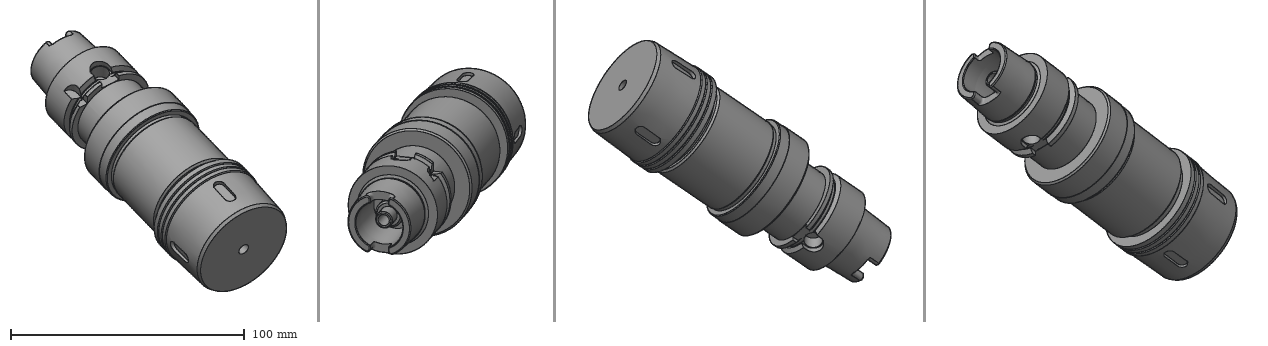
import cadquery as cq
import math


total_length = 140.0
flange_start = 20.0
flange_end = 40.0
body_start = 55.0
body_end = 72.0
sleeve_start = 73.5
sleeve_end = 105.0
nut_start = 108.0
nut_cone_start = 116.5

taper_tip_radius = 14.1
taper_base_radius = 15.0
taper_base = 17.8
tip_chamfer = 0.5
relief_radius = 14.7
relief_start = 18.6
relief_flare_start = 19.5
relief_flare_radius = 16.0

flange_radius = 20.0
groove_radius = 17.35
groove_foot_radius = 17.95
groove_top_start = 33.9
groove_floor_start = 35.1
groove_floor_end = 36.7
groove_top_end = 38.1

neck_radius = 17.0
body_radius = 24.5
body_rear_radius = 24.25
body_rear_chamfer = 0.4
body_step = 66.7
body_chamfer = 0.8
undercut_radius = 21.75
sleeve_radius = 22.1
sleeve_rear_chamfer = 0.5
sleeve_front_chamfer = 0.9
nut_neck_radius = 19.5

nut_radius = 48.8 / 2
nut_cone_rear_radius = 23.93
nut_cone_front_radius = 23.13
nut_end_chamfer = 1.6
nut_end_radius = 22.4
nut_shoulder_length = 0.45
ring_groove_centres = (110.8, 113.65)
ring_groove_width = 0.9
ring_groove_depth = 0.45
nut_slot_width = 5.0
nut_slot_length = 12.9
nut_slot_centre = 125.75
nut_slot_floor = 22.0
nut_slot_count = 4

bore_radius = 21.0 / 2
bore_chamfer = (21.8 - 21.0) / 2
bore_straight = 8.0
bore_floor = 24.0
bore_floor_radius = 19.5 / 2
tube_tip = 6.7
tube_radius = 7.5 / 2
tube_tip_radius = 6.5 / 2
tube_chamfer = 0.5
collar_radius = 12.0 / 2
collar_tip_radius = 5.2
collar_start = 14.0
collar_chamfer = 0.8
coolant_hole_radius = 5.0 / 2

drive_slot_width = 8.05
drive_slot_floor_fillet = 1.0
drive_slot_corner_radius = 1.5
drive_slot_top_depth = 3.5
drive_slot_bottom_depth = 5.8

keyway_width = 8.8
keyway_floor = 17.15
keyway_centre = 32.2
index_hole_radius = 8.0 / 2
index_hole_depth = 6.5
notch_offset = 12.0
notch_cutter_radius = 4.0


def revolve(points):
    return cq.Workplane("XY").polyline(points).close().revolve(360, (0, 0, 0), (1, 0, 0))


def outer_body():
    return revolve([
        (0, 0),
        (0, taper_tip_radius - tip_chamfer),
        (tip_chamfer, taper_tip_radius),
        (taper_base, taper_base_radius),
        (relief_start, relief_radius),
        (relief_flare_start, relief_radius),
        (flange_start, relief_flare_radius),
        (flange_start, flange_radius),
        (groove_top_start, flange_radius),
        (groove_floor_start, groove_foot_radius),
        (groove_floor_start, groove_radius),
        (groove_floor_end, groove_radius),
        (groove_floor_end, groove_foot_radius),
        (groove_top_end, flange_radius),
        (flange_end, flange_radius),
        (flange_end, neck_radius),
        (body_start, neck_radius),
        (body_start, body_radius - body_chamfer),
        (body_start + body_chamfer, body_radius),
        (body_step, body_radius),
        (body_step, body_rear_radius),
        (body_end - body_rear_chamfer, body_rear_radius),
        (body_end, body_rear_radius - body_rear_chamfer),
        (body_end, undercut_radius),
        (sleeve_start, undercut_radius),
        (sleeve_start + sleeve_rear_chamfer, sleeve_radius),
        (sleeve_end - sleeve_front_chamfer, sleeve_radius),
        (sleeve_end, sleeve_radius - sleeve_front_chamfer),
        (sleeve_end, nut_neck_radius),
        (nut_start, nut_neck_radius),
        (nut_start, nut_radius),
        (nut_cone_start - nut_shoulder_length, nut_radius),
        (nut_cone_start, nut_cone_rear_radius),
        (total_length - nut_end_chamfer, nut_cone_front_radius),
        (total_length, nut_end_radius),
        (total_length, 0),
    ])


def ring_groove(centre):
    """V groove around the nut."""
    half = ring_groove_width / 2
    return revolve([
        (centre - half, nut_radius),
        (centre, nut_radius - ring_groove_depth),
        (centre + half, nut_radius),
    ])


def shank_bore():
    return revolve([
        (0, 0),
        (0, bore_radius + bore_chamfer),
        (bore_chamfer, bore_radius),
        (bore_straight, bore_radius),
        (bore_floor, bore_floor_radius),
        (bore_floor, 0),
    ])


def coolant_tube():
    return revolve([
        (tube_tip, 0),
        (tube_tip, tube_tip_radius),
        (tube_tip + tube_chamfer, tube_radius),
        (collar_start, tube_radius),
        (collar_start, collar_tip_radius),
        (collar_start + collar_chamfer, collar_radius),
        (bore_floor, collar_radius),
        (bore_floor, 0),
    ])


def drive_slot_outline(workplane, growth):
    """Slot section: straight walls, then arcs that round the outer corners into the taper."""
    half = drive_slot_width / 2 + growth
    radius = drive_slot_corner_radius - growth
    centre_distance = taper_tip_radius - drive_slot_corner_radius
    centre_y = drive_slot_width / 2 + drive_slot_corner_radius
    centre_angle = math.acos(centre_y / centre_distance)
    centre_z = centre_distance * math.sin(centre_angle)
    middle_angle = (math.pi + centre_angle) / 2
    middle_y = centre_y + radius * math.cos(middle_angle)
    middle_z = centre_z + radius * math.sin(middle_angle)
    end_y = centre_y + radius * math.cos(centre_angle)
    end_z = centre_z + radius * math.sin(centre_angle)
    outer_y = flange_radius * math.cos(centre_angle)
    outer_z = flange_radius * math.sin(centre_angle)
    return (
        workplane
        .moveTo(-half, 0)
        .lineTo(half, 0)
        .lineTo(half, centre_z)
        .threePointArc((middle_y, middle_z), (end_y, end_z))
        .lineTo(outer_y, outer_z)
        .lineTo(-outer_y, outer_z)
        .lineTo(-end_y, end_z)
        .threePointArc((-middle_y, middle_z), (-half, centre_z))
        .close()
    )


def drive_slot(depth):
    """Slot through the +Z wall of the shank, with a chamfered mouth and filleted floor."""
    slot = drive_slot_outline(cq.Workplane("YZ"), 0).extrude(depth)
    half = drive_slot_width / 2
    margin = 0.1
    floor_edges = cq.selectors.BoxSelector(
        (depth - margin, -half - margin, 0), (depth + margin, half + margin, taper_tip_radius)
    )
    slot = slot.edges("|Z").edges(floor_edges).fillet(drive_slot_floor_fillet)
    mouth = drive_slot_outline(cq.Workplane("YZ"), tip_chamfer).workplane(offset=tip_chamfer)
    mouth = drive_slot_outline(mouth, 0).loft(ruled=True)
    return slot.union(mouth)


def flange_keyway():
    """Flat keyway open toward the neck, with a blind index hole at its round end."""
    keyway = cq.Workplane("XY", origin=(0, 0, keyway_floor))
    height = flange_radius - keyway_floor
    run = flange_end - keyway_centre
    channel = keyway.center(keyway_centre + run / 2, 0).rect(run, keyway_width).extrude(height)
    round_end = keyway.center(keyway_centre, 0).circle(keyway_width / 2).extrude(height)
    hole = keyway.center(keyway_centre, 0).circle(index_hole_radius).extrude(-index_hole_depth)
    return channel.union(round_end).union(hole)


def orientation_notch():
    """Corner notch on the -Y +Z side of the flange with a quarter-round inner end."""
    r = notch_cutter_radius
    return (
        cq.Workplane("XY", origin=(0, 0, notch_offset))
        .moveTo(keyway_centre - r, -flange_radius)
        .lineTo(keyway_centre - r, -notch_offset - r)
        .radiusArc((keyway_centre, -notch_offset), r)
        .lineTo(flange_end, -notch_offset)
        .lineTo(flange_end, -flange_radius)
        .close()
        .extrude(flange_radius - notch_offset)
    )


def nut_slot(index):
    slot = (
        cq.Workplane("XY", origin=(nut_slot_centre, 0, nut_slot_floor))
        .slot2D(nut_slot_length, nut_slot_width)
        .extrude(body_radius - nut_slot_floor)
    )
    return slot.rotate((0, 0, 0), (1, 0, 0), index * 360 / nut_slot_count)


result = outer_body()
for centre in ring_groove_centres:
    result = result.cut(ring_groove(centre))
result = result.cut(shank_bore())
result = result.cut(drive_slot(drive_slot_top_depth))
result = result.cut(drive_slot(drive_slot_bottom_depth).mirror("XY"))
result = result.union(coolant_tube())
result = result.cut(flange_keyway())
result = result.cut(flange_keyway().rotate((0, 0, 0), (1, 0, 0), 180))
result = result.cut(orientation_notch())
for index in range(nut_slot_count):
    result = result.cut(nut_slot(index))
coolant_hole = cq.Workplane("YZ").circle(coolant_hole_radius).extrude(total_length)
result = result.cut(coolant_hole)